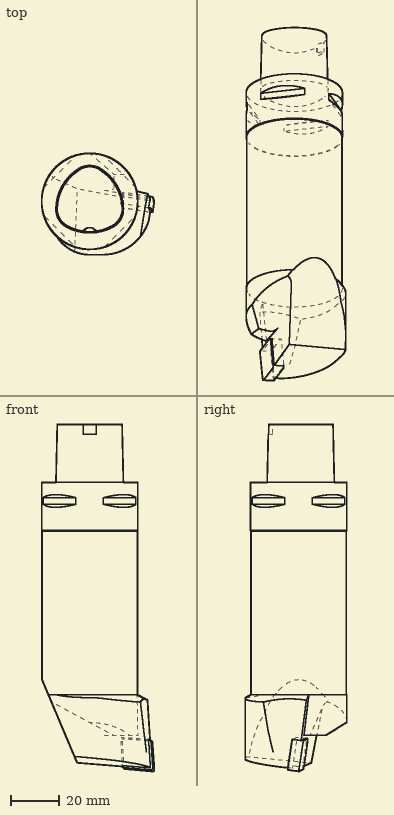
import cadquery as cq
import math


SHANK_LENGTH = 24.0
SHANK_TAPER = 1.3
LOBE_ANGLES = (210, 330, 450)
LOBE_PITCH = 120
LOBE_CENTRE_RADIUS = 6.4
LOBE_RADIUS = 8.5
FLANK_CENTRE_RADIUS = 7.0
NOTCH_RADIUS = 3.1
NOTCH_CENTRE_Y = -14.0
NOTCH_DEPTH = 4.0

FLANGE_RADIUS = 20.0
FLANGE_HEIGHT = 20.0
BODY_RADIUS = 39.7 / 2
RELIEF_HEIGHT = 0.3
HEAD_TOP_Z = -88.1

GROOVE_COUNT = 4
GROOVE_FIRST_ANGLE = 45.0
GROOVE_FLOOR_RADIUS = 17.6
GROOVE_Z = -7.75
GROOVE_FLOOR_WIDTH = 2.7
GROOVE_MOUTH_WIDTH = 5.3

HEAD_DEPTH = 42.19 - FLANGE_RADIUS
HEAD_FLAT_LENGTH = 5.4
HEAD_RIGHT_RADIUS = 20.0
HEAD_LEFT_RADIUS = 16.0
HEAD_BACK_Y = 10.0
HEAD_BLANK_BOTTOM_Z = -130.0
HEAD_BLANK_HEIGHT = HEAD_TOP_Z - HEAD_BLANK_BOTTOM_Z
SHOULDER_SLOPE = 0.53
SHOULDER_OUTER_RADIUS = 40.0

RELIEF_ANGLE = math.radians(22.9)
RELIEF_POINT = (-BODY_RADIUS, 0, -81.8)
RELIEF_NORMAL = (-math.cos(RELIEF_ANGLE), 0, -math.sin(RELIEF_ANGLE))
END_POINT = (-5.26, 5.3, -116.4)
END_NORMAL = (-0.100, -0.096, -1)
SIDE_POINT = (24.0, 3.2, -90.1)
SIDE_NORMAL = (1, -0.17, 0.087)
RAKE_POINT = (24.2, 3.2, -90.1)
RAKE_NORMAL = (0.176, 1, -0.117)
GULLET_POINT = (0, 0, -99.6)
GULLET_NORMAL = (-0.54, 0, -1)
GULLET_FILLET = 2.0

CORE_END_Z = -105.0
CORE_BEVEL_START_Y = 11.3
CORE_BEVEL_TOP_Z = -99.6

INSERT_CORNER = (26.93, 0.0, -120.08)
INSERT_NORMAL = (0.15, 1.0, -0.14)
INSERT_INSCRIBED_DIAMETER = 12.7
INSERT_ANGLE = 80.0
INSERT_EDGE_TILT = 5.0
INSERT_THICKNESS = 4.76
INSERT_NOSE_RADIUS = 0.8

CUTTER_SIZE = 200.0


def polar(radius, degrees, centre=(0, 0)):
    """Point at a radius and an angle around a centre."""
    angle = math.radians(degrees)
    return centre[0] + radius * math.cos(angle), centre[1] + radius * math.sin(angle)


def half_space(point, normal):
    """Large block that starts at a plane and fills the side its normal points to."""
    plane = cq.Plane(origin=point, normal=normal)
    return cq.Workplane(plane).rect(CUTTER_SIZE, CUTTER_SIZE).extrude(CUTTER_SIZE)


def revolved(profile):
    """Solid of revolution around the Z axis from (radius, z) points."""
    return cq.Workplane("XZ").polyline(profile).close().revolve(360, (0, 0, 0), (0, 1, 0))


def make_shank():
    """Tapered three-lobed polygon with a key notch at its free end."""
    lobe_angle = LOBE_ANGLES[0]
    lobe_centre = polar(LOBE_CENTRE_RADIUS, lobe_angle)
    flank_centre = polar(FLANK_CENTRE_RADIUS, lobe_angle - LOBE_PITCH)
    line_x = lobe_centre[0] - flank_centre[0]
    line_y = lobe_centre[1] - flank_centre[1]
    joint = polar(LOBE_RADIUS, math.degrees(math.atan2(line_y, line_x)), lobe_centre)
    joint_radius = math.hypot(*joint)
    half_angle = math.degrees(math.atan2(joint[1], joint[0])) % 360 - lobe_angle
    lobe_reach = LOBE_CENTRE_RADIUS + LOBE_RADIUS
    flank_reach = math.hypot(line_x, line_y) + LOBE_RADIUS - FLANK_CENTRE_RADIUS

    outline = cq.Workplane("XY").moveTo(*polar(joint_radius, lobe_angle - half_angle))
    for angle in LOBE_ANGLES:
        outline = outline.threePointArc(
            polar(lobe_reach, angle), polar(joint_radius, angle + half_angle)
        ).threePointArc(
            polar(flank_reach, angle + LOBE_PITCH / 2), polar(joint_radius, angle + LOBE_PITCH - half_angle)
        )
    shank = outline.close().extrude(SHANK_LENGTH, taper=SHANK_TAPER)

    notch = (
        cq.Workplane("XY", origin=(0, NOTCH_CENTRE_Y, SHANK_LENGTH))
        .circle(NOTCH_RADIUS)
        .extrude(-NOTCH_DEPTH)
    )
    return shank.cut(notch)


def make_groove(angle):
    """Straight groove with sloping sides across the flange, at an angle around the axis."""
    floor = GROOVE_FLOOR_WIDTH / 2
    mouth = GROOVE_MOUTH_WIDTH / 2
    return (
        cq.Workplane("XZ")
        .polyline([
            (GROOVE_FLOOR_RADIUS, GROOVE_Z - floor),
            (FLANGE_RADIUS, GROOVE_Z - mouth),
            (FLANGE_RADIUS, GROOVE_Z + mouth),
            (GROOVE_FLOOR_RADIUS, GROOVE_Z + floor),
        ])
        .close()
        .extrude(FLANGE_RADIUS, both=True)
        .rotate((0, 0, 0), (0, 0, 1), angle)
    )


def make_flange_and_body():
    body = revolved([
        (0, 0),
        (FLANGE_RADIUS, 0),
        (FLANGE_RADIUS, -FLANGE_HEIGHT),
        (BODY_RADIUS, -FLANGE_HEIGHT - RELIEF_HEIGHT),
        (BODY_RADIUS, HEAD_TOP_Z),
        (0, HEAD_TOP_Z),
    ])
    for index in range(GROOVE_COUNT):
        body = body.cut(make_groove(GROOVE_FIRST_ANGLE + index * 360 / GROOVE_COUNT))
    return body


def make_core():
    """Round part of the head, cut away in front of the rake face to form the chip gullet."""
    core = (
        cq.Workplane("XY", origin=(0, 0, HEAD_BLANK_BOTTOM_Z))
        .circle(FLANGE_RADIUS)
        .extrude(HEAD_BLANK_HEIGHT)
    )
    before_rake = half_space(RAKE_POINT, RAKE_NORMAL)
    gullet = before_rake.intersect(half_space(GULLET_POINT, GULLET_NORMAL))
    gullet = gullet.edges(cq.NearestToPointSelector(GULLET_POINT)).fillet(GULLET_FILLET)

    below_core = (
        cq.Workplane("YZ")
        .polyline([
            (-FLANGE_RADIUS, CORE_END_Z),
            (CORE_BEVEL_START_Y, CORE_END_Z),
            (FLANGE_RADIUS, CORE_BEVEL_TOP_Z),
            (FLANGE_RADIUS, HEAD_BLANK_BOTTOM_Z),
            (-FLANGE_RADIUS, HEAD_BLANK_BOTTOM_Z),
        ])
        .close()
        .extrude(FLANGE_RADIUS, both=True)
    )
    return core.cut(gullet).cut(below_core.intersect(before_rake))


def make_flare():
    """Part of the head that reaches out beyond the round core, up to the rake face."""
    left_centre = (0, HEAD_LEFT_RADIUS - HEAD_DEPTH)
    right_centre = (HEAD_FLAT_LENGTH, HEAD_RIGHT_RADIUS - HEAD_DEPTH)
    right_end = polar(HEAD_RIGHT_RADIUS, 0, right_centre)
    flare = (
        cq.Workplane("XY", origin=(0, 0, HEAD_BLANK_BOTTOM_Z))
        .moveTo(*polar(HEAD_LEFT_RADIUS, 180, left_centre))
        .threePointArc(polar(HEAD_LEFT_RADIUS, 225, left_centre), (0, -HEAD_DEPTH))
        .lineTo(HEAD_FLAT_LENGTH, -HEAD_DEPTH)
        .threePointArc(polar(HEAD_RIGHT_RADIUS, 315, right_centre), right_end)
        .lineTo(right_end[0], HEAD_BACK_Y)
        .close()
        .extrude(HEAD_BLANK_HEIGHT)
    )
    return flare.cut(half_space(RAKE_POINT, RAKE_NORMAL))


def make_head():
    shoulder_drop = SHOULDER_SLOPE * (SHOULDER_OUTER_RADIUS - BODY_RADIUS)
    under_shoulder = revolved([
        (0, HEAD_TOP_Z),
        (BODY_RADIUS, HEAD_TOP_Z),
        (SHOULDER_OUTER_RADIUS, HEAD_TOP_Z - shoulder_drop),
        (SHOULDER_OUTER_RADIUS, HEAD_BLANK_BOTTOM_Z),
        (0, HEAD_BLANK_BOTTOM_Z),
    ])
    head = make_core().union(make_flare()).intersect(under_shoulder)
    head = head.cut(half_space(SIDE_POINT, SIDE_NORMAL))
    return head.cut(half_space(END_POINT, END_NORMAL))


def make_insert():
    """Rhombic insert whose top face leans much like the rake face."""
    normal_x, normal_y, _ = INSERT_NORMAL
    top = cq.Plane(origin=INSERT_CORNER, xDir=(-normal_y, normal_x, 0), normal=INSERT_NORMAL)
    edge_length = INSERT_INSCRIBED_DIAMETER / math.sin(math.radians(INSERT_ANGLE))
    side_end = polar(edge_length, 90 - INSERT_EDGE_TILT)
    front_end = polar(edge_length, 90 - INSERT_EDGE_TILT - INSERT_ANGLE)
    far_corner = (side_end[0] + front_end[0], side_end[1] + front_end[1])
    return (
        cq.Workplane(top)
        .polyline([(0, 0), side_end, far_corner, front_end])
        .close()
        .extrude(-INSERT_THICKNESS)
        .edges(cq.ParallelDirSelector(cq.Vector(*INSERT_NORMAL)))
        .fillet(INSERT_NOSE_RADIUS)
    )


def make_holder(insert):
    """Shank, flange, body and head in one piece, with a seat that fits the insert."""
    holder = make_flange_and_body().union(make_shank()).union(make_head())
    return holder.cut(half_space(RELIEF_POINT, RELIEF_NORMAL)).cut(insert)


insert = make_insert()
holder = make_holder(insert)
result = cq.Compound.makeCompound([holder.solids().val(), insert.val()])